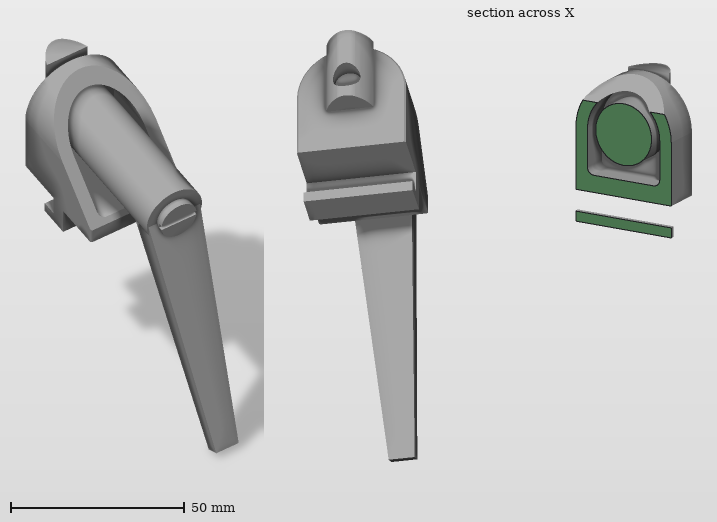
import cadquery as cq
import math


knob_depth = 7.2
knob_half_width = 6.9
knob_top = 15.4
knob_bottom = -7.4
nose_depth = 0.89
nose_half_width = 2.67
flank_mid = (3.4, 5.05)
bore_diameter = 8.0
bore_depth = 5.5
stem_diameter = 8.0

housing_start = 9.4
housing_end = 45.2
housing_radius = 16.0
ridge_length = 4.6
wall = 4.0
front_floor = -19.2
rear_floor = -20.1
cavity_floor = -13.85
cavity_fillet = 2.0
front_chamfer = 0.5
end_rounding = 0.7

hook_tip = 20.3
hook_neck = 25.2
hook_back = 30.2
hook_ledge = -25.6
hook_bottom = -28.8

tube_diameter = 18.8
tube_end = 64.9
head_diameter = 12.0
head_length = 2.5
head_slot_width = 1.4
head_slot_depth = 1.3

lever_root_outer = (tube_end, -0.2)
lever_root_inner = (57.7, -3.2)
lever_tip_outer = (93.6, -72.0)
lever_tip_inner = (89.4, -74.0)
lever_root_width = 17.6
lever_tip_width = 7.7


def rod(diameter, start, end):
    """Cylinder on the X axis."""
    return cq.Workplane("YZ", origin=(start, 0, 0)).circle(diameter / 2).extrude(end - start)


def arch(radius, floor, start, end):
    """Round-topped block along X."""
    return (
        cq.Workplane("YZ", origin=(start, 0, 0))
        .moveTo(-radius, floor)
        .lineTo(-radius, 0)
        .threePointArc((0, radius), (radius, 0))
        .lineTo(radius, floor)
        .close()
        .extrude(end - start)
    )


def make_knob():
    body = (
        cq.Workplane("XY", origin=(0, 0, knob_bottom))
        .moveTo(knob_depth, -knob_half_width)
        .threePointArc((flank_mid[0], -flank_mid[1]), (nose_depth, -nose_half_width))
        .threePointArc((0, 0), (nose_depth, nose_half_width))
        .threePointArc(flank_mid, (knob_depth, knob_half_width))
        .close()
        .extrude(knob_top - knob_bottom)
    )
    return body.cut(rod(bore_diameter, 0, bore_depth))


def make_housing():
    block = arch(housing_radius, hook_bottom, housing_start, housing_end)
    block = block.faces("<X").edges("not <Z").chamfer(front_chamfer)
    block = block.edges("|Z and >X").fillet(end_rounding)
    ridge_end = housing_start + ridge_length
    slope_foot = housing_radius - (housing_end - ridge_end)
    side = (
        cq.Workplane("XZ")
        .polyline([
            (housing_start, housing_radius),
            (ridge_end, housing_radius),
            (housing_end, slope_foot),
            (housing_end, rear_floor),
            (hook_back, rear_floor),
            (hook_back, hook_bottom),
            (hook_tip, hook_bottom),
            (hook_tip, hook_ledge),
            (hook_neck, hook_ledge),
            (hook_neck, front_floor),
            (housing_start, front_floor),
        ])
        .close()
        .extrude(housing_radius, both=True)
    )
    cavity = arch(housing_radius - wall, cavity_floor, housing_start + wall, housing_end)
    cavity = cavity.edges("|X and <Z").fillet(cavity_fillet)
    return block.intersect(side).cut(cavity)


def make_screw_head():
    head_end = tube_end + head_length
    slot = cq.Workplane("XY", origin=(head_end, 0, 0)).box(
        2 * head_slot_depth, head_diameter, head_slot_width
    )
    return rod(head_diameter, tube_end, head_end).cut(slot)


def make_lever():
    side = (
        cq.Workplane("XZ")
        .polyline([lever_root_outer, lever_tip_outer, lever_tip_inner, lever_root_inner])
        .close()
        .extrude(lever_root_width / 2, both=True)
    )
    run = lever_tip_outer[0] - lever_root_outer[0]
    drop = lever_tip_outer[1] - lever_root_outer[1]
    length = math.hypot(run, drop)
    margin = 0.1 * length
    width_loss = (lever_root_width - lever_tip_width) * margin / length
    face = cq.Plane(
        origin=(lever_root_outer[0], 0, lever_root_outer[1]),
        xDir=(run, 0, drop),
        normal=(-drop, 0, run),
    )
    root_half = (lever_root_width + width_loss) / 2
    tip_half = (lever_tip_width - width_loss) / 2
    taper = (
        cq.Workplane(face)
        .polyline([
            (-margin, -root_half),
            (length + margin, -tip_half),
            (length + margin, tip_half),
            (-margin, root_half),
        ])
        .close()
        .extrude(tube_diameter, both=True)
    )
    return side.intersect(taper)


result = (
    make_housing()
    .union(rod(tube_diameter, housing_start + wall, tube_end))
    .union(rod(stem_diameter, knob_depth, housing_start + wall))
    .union(make_knob())
    .union(make_lever())
    .union(make_screw_head())
)